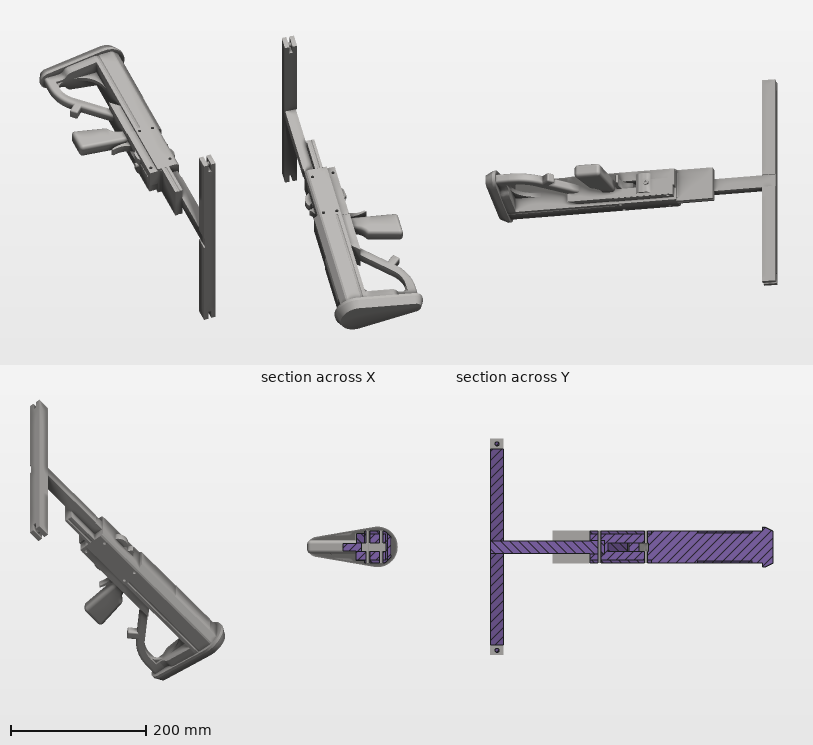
import cadquery as cq
import math


BUTT_RADIUS = 30
BUTT_TOE_RADIUS = 15
BUTT_LENGTH = 134
BUTT_THICKNESS = 16
BUTT_BEVEL_LENGTH = 11.5
BUTT_BEVEL_INSET = 5.7

STOCK_BOTTOM = 17.2
STOCK_TOP = 56.8
STOCK_HALF_WIDTH = 24.1
SIDE_TOP = 46
SHOULDER_TOP = 48.6
SHOULDER_DROP = 1.1
RIDGE_DROP = STOCK_TOP - SHOULDER_TOP
RIDGE_HALF_WIDTH = STOCK_HALF_WIDTH - SHOULDER_DROP - RIDGE_DROP
RIDGE_END = 188
GROOVE_Y = 24.1
GROOVE_WIDTH = 3.8
GROOVE_DEPTH = 1

BAR_HALF_WIDTH = 7
BAR_FILLET = 4
POST_END = 29
LOOP_INNER_CENTER = (41.8, -8)
LOOP_INNER_RADIUS = 39.5
LOOP_OUTER_CENTER = (35.7, 3.8)
LOOP_OUTER_RADIUS = 65
UPPER_GUSSET = 38.5
LOWER_GUSSET = 14
GUSSET_HALF_WIDTH = 3
POST_KNEE = (18, -20.5)
POST_MIDDLE = (12.2, -30.6)
POST_FOOT_Y = -41
FOREGRIP_ALONG = 7.2
FOREGRIP_LENGTH = 14
FOREGRIP_WIDTH = 12.5
FOREGRIP_FILLET = 2.5

FRAME_BOTTOM = 4.4
FRAME_HALF_WIDTH = 19.7
FRAME_END = 263.8
COVER_START = 180.4
COVER_END = 271.5
COVER_SHORT_END = 268.7
COVER_BOTTOM = 5
COVER_TOP = 51.1
COVER_LOWER_HALF_WIDTH = 20.2
COVER_FLOOR_EDGE = 5.8
COVER_NOTCH_Z = -5.5
CORE_TOP = 48.8
CORE_LIP_RADIUS = 2.5

FORE_END = 325.8
FORE_BOTTOM = 23.2
FORE_TOP = 34.9
FORE_HALF_WIDTH = 24.4
FORE_GROOVE_Y = 29

GRIP_HALF_WIDTH = 9.9
GRIP_FILLET = 5.5
GRIP_ROOT = 12
GRIP_BOTTOM = -BUTT_LENGTH / 2
GRIP_NECK = [(161, 3), (157.5, -6), (147, -14)]
GRIP_HEEL_X = 134
GRIP_TOE_X = 174
GRIP_FRONT_X = 183.4

BLOCK_HALF_WIDTH = 15
BLOCK_FACETS = [(213.8, FRAME_BOTTOM), (218.8, 1), (224.5, 0.6), (230.6, 1), (235.5, FRAME_BOTTOM)]
SCREW_DIAMETER = 8
SCREW_SOCKET = 3
SCREW_END = -2

CHEEK_START = 31.8
CHEEK_END = 111.4
CHEEK_BOTTOM = 31
CHEEK_TOP = 58.6
CHEEK_THICKNESS = 3
CHEEK_CORNER = 4

TILLER_START = 250
TILLER_BOTTOM = 33.6
TILLER_TOP = 49.8
TILLER_STEP_X = 286
TILLER_HALF_WIDTH = 9.5
STAVE_START = 398.5
STAVE_END = 418.5
STAVE_BOTTOM = 31.7
STAVE_TOP = 50.2
STAVE_LENGTH = 320
TIP_SLOT_WIDTH = 4.8
TIP_SLOT_DEPTH = 14.5
TIP_PIN_DIAMETER = 6.8
TIP_PIN_DEPTH = 7.2

LOCK_HALF_WIDTH = 5.8
NUT_CENTER = (229.5, 45)
NUT_RADIUS = 15
NUT_NOTCH = (224, 51.7)
NUT_NOTCH_REACH = 20
BLADE_REAR = [(185, FRAME_BOTTOM), (186.2, -13), (189.6, -23.5)]
BLADE_FRONT = [(191.9, -21), (190.1, -9), (193.3, FRAME_BOTTOM)]
TRIGGER_HOOK = [(198, 11), (207, 14)]
SEAR_OUTLINE = [(214, 40), (214.5, 51.8), (210.6, 57.8), (207.5, 54.3), (202.6, 51.7), (190.5, 20), (185, 10)]
TRIGGER_SLOT_START = 184.8
TRIGGER_SLOT_END = 215
SEAR_WINDOW_START = 201
HOLE_DIAMETER = 5
HOLES = [(188, 42.3), (257.3, 42.3), (186.7, 22.3), (261, 10.2)]


def box(x0, x1, y0, y1, z0, z1):
    return cq.Workplane("XY").box(x1 - x0, y1 - y0, z1 - z0, centered=False).translate((x0, y0, z0))


def wide(sketch, half_width):
    """Extrude an XY outline equally to both sides of Z = 0."""
    return sketch.extrude(half_width, both=True)


def section(points, x0, x1):
    """Extrude a half section of (z, y) points, mirrored about Z = 0, along X."""
    mirrored = [(-z, y) for z, y in reversed(points)]
    outline = [(y, z) for z, y in points + mirrored]
    return cq.Workplane("YZ").polyline(outline).close().extrude(x1 - x0).translate((x0, 0, 0))


def side_grooves(x0, x1, y, half_width):
    """Shallow round grooves along both side faces."""
    radius = (GROOVE_WIDTH**2 / 4 + GROOVE_DEPTH**2) / (2 * GROOVE_DEPTH)
    axis_z = half_width - GROOVE_DEPTH + radius
    rods = cq.Workplane("YZ").pushPoints([(y, axis_z), (y, -axis_z)]).circle(radius)
    return rods.extrude(x1 - x0).translate((x0, 0, 0))


def stock_points(inset=0):
    """Half section of the rear stock, optionally shrunk at its sides and top."""
    return [
        (STOCK_HALF_WIDTH - inset, STOCK_BOTTOM),
        (STOCK_HALF_WIDTH - inset, SIDE_TOP),
        (STOCK_HALF_WIDTH - SHOULDER_DROP - inset, SHOULDER_TOP),
        (RIDGE_HALF_WIDTH - inset, STOCK_TOP - inset),
    ]


def make_butt():
    """Teardrop butt with a bevelled rear rim."""
    heel_y = BUTT_LENGTH / 2 - BUTT_RADIUS
    toe_y = BUTT_TOE_RADIUS - BUTT_LENGTH / 2
    lean = math.asin((BUTT_RADIUS - BUTT_TOE_RADIUS) / (heel_y - toe_y))
    heel_dy, heel_z = -BUTT_RADIUS * math.sin(lean), BUTT_RADIUS * math.cos(lean)
    toe_dy, toe_z = -BUTT_TOE_RADIUS * math.sin(lean), BUTT_TOE_RADIUS * math.cos(lean)
    pad = (
        cq.Workplane("YZ")
        .moveTo(heel_y + heel_dy, heel_z)
        .threePointArc((BUTT_LENGTH / 2, 0), (heel_y + heel_dy, -heel_z))
        .lineTo(toe_y + toe_dy, -toe_z)
        .threePointArc((-BUTT_LENGTH / 2, 0), (toe_y + toe_dy, toe_z))
        .close()
        .extrude(BUTT_THICKNESS)
    )
    return pad.faces("<X").chamfer(BUTT_BEVEL_LENGTH, BUTT_BEVEL_INSET)


def make_post():
    """Flared post behind the loop, narrowing from the stock down to the bar."""
    knee_z, knee_y = POST_KNEE
    middle_z, middle_y = POST_MIDDLE
    along_flank = (knee_y - STOCK_BOTTOM, knee_z - STOCK_HALF_WIDTH)
    across = (-1, -2)
    along_bar = (-1, 0)
    half = (
        cq.Workplane("YZ")
        .moveTo(STOCK_BOTTOM, 0)
        .lineTo(STOCK_BOTTOM, STOCK_HALF_WIDTH)
        .lineTo(knee_y, knee_z)
        .spline([(middle_y, middle_z)], tangents=[along_flank, across], includeCurrent=True)
        .spline([(POST_FOOT_Y, BAR_HALF_WIDTH)], tangents=[across, along_bar], includeCurrent=True)
        .lineTo(POST_FOOT_Y, 0)
        .close()
        .extrude(POST_END - BUTT_THICKNESS)
        .translate((BUTT_THICKNESS, 0, 0))
    )
    return half.union(half.mirror("XY"))


def make_loop():
    """Bar under the stock that sweeps up at 45 degrees into the receiver frame."""
    quarter_turn = math.radians(-90)
    half_way = math.radians(-67.5)
    sweep_end = math.radians(-45)

    def inner(angle):
        x, y = LOOP_INNER_CENTER
        return x + LOOP_INNER_RADIUS * math.cos(angle), y + LOOP_INNER_RADIUS * math.sin(angle)

    def outer(angle):
        x, y = LOOP_OUTER_CENTER
        return x + LOOP_OUTER_RADIUS * math.cos(angle), y + LOOP_OUTER_RADIUS * math.sin(angle)

    def up_to_stock(point):
        x, y = point
        return x + STOCK_BOTTOM - y, STOCK_BOTTOM

    bar = wide(
        cq.Workplane("XY")
        .moveTo(BUTT_THICKNESS, outer(quarter_turn)[1])
        .lineTo(*outer(quarter_turn))
        .threePointArc(outer(half_way), outer(sweep_end))
        .lineTo(*up_to_stock(outer(sweep_end)))
        .lineTo(*up_to_stock(inner(sweep_end)))
        .lineTo(*inner(sweep_end))
        .threePointArc(inner(half_way), inner(quarter_turn))
        .lineTo(POST_END, inner(quarter_turn)[1])
        .lineTo(POST_END, POST_FOOT_Y)
        .lineTo(BUTT_THICKNESS, POST_FOOT_Y)
        .close(),
        BAR_HALF_WIDTH,
    )
    bar = bar.faces("<Y").edges("|X").fillet(BAR_FILLET)

    foregrip_length = FOREGRIP_LENGTH + BAR_FILLET
    foregrip = cq.Workplane("XY").box(foregrip_length, FOREGRIP_WIDTH, 2 * BAR_HALF_WIDTH)
    foregrip = foregrip.edges("|X or >X").fillet(FOREGRIP_FILLET)
    foregrip = foregrip.translate((foregrip_length / 2 - BAR_FILLET, FOREGRIP_ALONG, 0))
    foregrip = foregrip.rotate((0, 0, 0), (0, 0, 1), -45).translate((*outer(sweep_end), 0))
    return bar.union(foregrip)


def corner_gusset(x, y, radius, direction):
    """Web filling the corner of the loop with a concave quarter round."""
    center_y = y + direction * radius
    diagonal = radius * math.sqrt(0.5)
    return wide(
        cq.Workplane("XY")
        .moveTo(x, y)
        .lineTo(x + radius, y)
        .threePointArc((x + radius - diagonal, center_y - direction * diagonal), (x, center_y))
        .close(),
        GUSSET_HALF_WIDTH,
    )


def make_grip():
    """Pistol grip with a curved neck at the rear, rounded on every edge below its root."""
    neck_start, neck_middle, neck_end = GRIP_NECK
    grip = wide(
        cq.Workplane("XY")
        .moveTo(neck_start[0], GRIP_ROOT)
        .lineTo(*neck_start)
        .threePointArc(neck_middle, neck_end)
        .lineTo(GRIP_HEEL_X, GRIP_BOTTOM)
        .lineTo(GRIP_TOE_X, GRIP_BOTTOM)
        .lineTo(GRIP_FRONT_X, GRIP_ROOT)
        .close(),
        GRIP_HALF_WIDTH,
    )
    return grip.edges("not >Y").fillet(GRIP_FILLET)


def make_stop_block():
    """Faceted block with a hollow screw head, fixed under the receiver frame."""
    block = wide(cq.Workplane("XY").polyline(BLOCK_FACETS).close(), BLOCK_HALF_WIDTH)
    screw = (
        cq.Workplane("XZ").circle(SCREW_DIAMETER / 2).circle(SCREW_SOCKET / 2)
        .extrude(FRAME_BOTTOM - SCREW_END).translate((NUT_CENTER[0], FRAME_BOTTOM, 0))
    )
    return block.union(screw)


def make_receiver():
    """Frame with the slanted rear end, and the core that runs on inside the cover."""
    inner_offset = LOOP_INNER_CENTER[0] - LOOP_INNER_CENTER[1] + LOOP_INNER_RADIUS * math.sqrt(2)
    frame_rear = wide(
        cq.Workplane("XY").polyline([
            (inner_offset + FRAME_BOTTOM, FRAME_BOTTOM), (COVER_START, FRAME_BOTTOM),
            (COVER_START, STOCK_BOTTOM), (inner_offset + STOCK_BOTTOM, STOCK_BOTTOM),
        ]).close(),
        FRAME_HALF_WIDTH,
    )
    frame_front = box(COVER_START, FRAME_END, FRAME_BOTTOM, STOCK_BOTTOM, -FRAME_HALF_WIDTH, COVER_FLOOR_EDGE)
    core = box(COVER_START, COVER_END, STOCK_BOTTOM, CORE_TOP, -FRAME_HALF_WIDTH, FRAME_HALF_WIDTH)
    lip_rod = cq.Workplane("XY").center(COVER_END + CORE_LIP_RADIUS, FORE_BOTTOM - CORE_LIP_RADIUS)
    lip = box(
        COVER_END, COVER_END + CORE_LIP_RADIUS, FORE_BOTTOM - CORE_LIP_RADIUS, FORE_BOTTOM,
        -FRAME_HALF_WIDTH, FRAME_HALF_WIDTH,
    ).cut(wide(lip_rod.circle(CORE_LIP_RADIUS), FRAME_HALF_WIDTH))
    return frame_rear.union(frame_front).union(core).union(lip)


def make_stock():
    """Butt, rear stock, loop, grip, receiver and forestock in one piece."""
    rear = section(stock_points(), BUTT_THICKNESS, COVER_START)
    rear = rear.cut(side_grooves(BUTT_THICKNESS, COVER_START, GROOVE_Y, STOCK_HALF_WIDTH))
    tongue = section(stock_points(), COVER_START, RIDGE_END).intersect(
        box(COVER_START, RIDGE_END, COVER_TOP, STOCK_TOP, -STOCK_HALF_WIDTH, STOCK_HALF_WIDTH)
    )
    fore = box(COVER_END, FORE_END, FORE_BOTTOM, FORE_TOP, -FORE_HALF_WIDTH, FORE_HALF_WIDTH)
    fore = fore.cut(side_grooves(COVER_END, FORE_END, FORE_GROOVE_Y, FORE_HALF_WIDTH))
    body = rear.union(make_receiver()).union(tongue).union(fore)
    body = body.union(make_butt()).union(make_post()).union(make_loop())
    body = body.union(corner_gusset(POST_END, STOCK_BOTTOM, UPPER_GUSSET, -1))
    body = body.union(corner_gusset(POST_END, LOOP_INNER_CENTER[1] - LOOP_INNER_RADIUS, LOWER_GUSSET, 1))
    return body.union(make_grip()).union(make_stop_block())


def make_cover():
    """Block around the receiver core, before the core is cut out of it."""
    ridge_drop = COVER_TOP - SHOULDER_TOP
    shoulder = STOCK_HALF_WIDTH - SHOULDER_DROP
    shell = section(
        [
            (COVER_LOWER_HALF_WIDTH, COVER_BOTTOM),
            (COVER_LOWER_HALF_WIDTH, STOCK_BOTTOM),
            (STOCK_HALF_WIDTH, STOCK_BOTTOM),
            (STOCK_HALF_WIDTH, SIDE_TOP),
            (shoulder, SHOULDER_TOP),
            (shoulder - ridge_drop, COVER_TOP),
        ],
        COVER_START,
        COVER_END,
    )
    return shell.cut(
        box(COVER_SHORT_END, COVER_END, COVER_BOTTOM, STOCK_BOTTOM, -STOCK_HALF_WIDTH, COVER_NOTCH_Z)
    )


def make_cheek_rest():
    """Saddle over the stock ridge, flush with its sides and slightly above its top."""
    rise = CHEEK_TOP - STOCK_TOP
    top = [(RIDGE_HALF_WIDTH - 2 * rise, CHEEK_TOP)]
    outer = section(stock_points() + top, CHEEK_START, CHEEK_END)
    panel = wide(
        cq.Workplane("XY").moveTo(CHEEK_START, CHEEK_BOTTOM)
        .lineTo(CHEEK_END, CHEEK_BOTTOM).lineTo(CHEEK_END, CHEEK_TOP).lineTo(CHEEK_START, CHEEK_TOP).close(),
        STOCK_HALF_WIDTH,
    ).edges("|Z and <Y").fillet(CHEEK_CORNER)
    return outer.intersect(panel).cut(section(stock_points(CHEEK_THICKNESS), CHEEK_START, CHEEK_END))


def make_tiller():
    """Bar that carries the bow, slightly lower at its rear end."""
    rear = box(TILLER_START, TILLER_STEP_X, TILLER_BOTTOM, CORE_TOP, -TILLER_HALF_WIDTH, TILLER_HALF_WIDTH)
    front = box(TILLER_STEP_X, STAVE_END, TILLER_BOTTOM, TILLER_TOP, -TILLER_HALF_WIDTH, TILLER_HALF_WIDTH)
    return rear.union(front)


def make_stave():
    """Bow stave with a slotted, pinned tip at each end and a seat for the tiller in its middle."""
    half_length = STAVE_LENGTH / 2
    middle_x = (STAVE_START + STAVE_END) / 2
    middle_y = (STAVE_BOTTOM + STAVE_TOP) / 2
    stave = box(STAVE_START, STAVE_END, STAVE_BOTTOM, STAVE_TOP, -half_length, half_length)
    slot_y0, slot_y1 = middle_y - TIP_SLOT_WIDTH / 2, middle_y + TIP_SLOT_WIDTH / 2
    for side in (-1, 1):
        ends = sorted([side * half_length, side * (half_length - TIP_SLOT_DEPTH)])
        stave = stave.cut(box(STAVE_START, STAVE_END, slot_y0, slot_y1, *ends))
        pin = cq.Workplane("XZ").circle(TIP_PIN_DIAMETER / 2).extrude(-TIP_SLOT_WIDTH)
        stave = stave.union(pin.translate((middle_x, slot_y0, side * (half_length - TIP_PIN_DEPTH))))
    seat = box(STAVE_START, STAVE_END, STAVE_BOTTOM, TILLER_TOP, -TILLER_HALF_WIDTH, TILLER_HALF_WIDTH)
    return stave.cut(seat)


def nut_disc():
    return wide(cq.Workplane("XY").center(*NUT_CENTER).circle(NUT_RADIUS), LOCK_HALF_WIDTH)


def make_nut():
    """Disc with a 45 degree string notch in its upper rear rim."""
    x, y = NUT_NOTCH
    r = NUT_NOTCH_REACH
    notch = wide(cq.Workplane("XY").polyline([(x, y), (x - r, y + r), (x - r, y)]).close(), LOCK_HALF_WIDTH)
    return nut_disc().cut(notch)


def make_trigger():
    """Curved blade below the receiver joined to the sear that shows above the cover."""
    return wide(
        cq.Workplane("XY")
        .moveTo(*BLADE_REAR[0])
        .threePointArc(*BLADE_REAR[1:])
        .lineTo(*BLADE_FRONT[0])
        .threePointArc(*BLADE_FRONT[1:])
        .threePointArc(*TRIGGER_HOOK)
        .polyline(SEAR_OUTLINE, includeCurrent=True)
        .close(),
        LOCK_HALF_WIDTH,
    )


def lock_cavity():
    """Space for the trigger, its sear and the nut."""
    z_range = (-LOCK_HALF_WIDTH, LOCK_HALF_WIDTH)
    slot = box(TRIGGER_SLOT_START, TRIGGER_SLOT_END, FRAME_BOTTOM, CORE_TOP, *z_range)
    window = box(SEAR_WINDOW_START, TRIGGER_SLOT_END, CORE_TOP, COVER_TOP, *z_range)
    return slot.union(window).union(nut_disc())


screw_holes = wide(cq.Workplane("XY").pushPoints(HOLES).circle(HOLE_DIAMETER / 2), 2 * STOCK_HALF_WIDTH)

cheek_rest = make_cheek_rest()
nut = make_nut()
trigger = make_trigger()
stave = make_stave()
full_stock = make_stock()
tiller = make_tiller().cut(screw_holes)
cover = make_cover().cut(full_stock).cut(lock_cavity()).cut(screw_holes)
stock = full_stock.cut(make_tiller()).cut(cheek_rest).cut(lock_cavity()).cut(screw_holes)

result = cq.Compound.makeCompound([
    stock.val(), cover.val(), cheek_rest.val(), tiller.val(), stave.val(), nut.val(), trigger.val(),
])